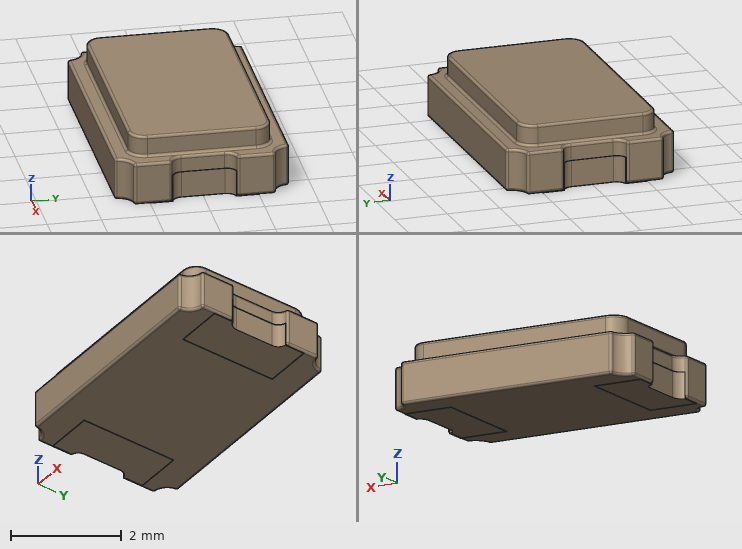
import cadquery as cq

total_length = 5.0
total_width = 3.2
total_height = 1.21

contact_thickness = 0.01
base_top = 0.81
corner_notch_radius = 0.3
edge_radius = 0.05

recess_depth = 0.2
recess_flat_length = 0.8

lining_top = 0.5
pad_width = 2.0
pad_length = 1.0
contact_setback = 0.04

lid_length = 4.4
lid_width = 2.6
lid_corner_radius = 0.3

END_SIDES = (-1, 1)


def end_slots(radius, bottom, top):
    """Upright slots of the given end radius, one centred on each short end face."""
    centres = [(side * total_length / 2, 0) for side in END_SIDES]
    return (
        cq.Workplane("XY", origin=(0, 0, bottom))
        .pushPoints(centres)
        .slot2D(recess_flat_length + 2 * radius, 2 * radius, 90)
        .extrude(top - bottom)
    )


def block(length, width, bottom, top):
    """Box centred on the Z axis between two heights."""
    return cq.Workplane("XY", origin=(0, 0, bottom)).rect(length, width).extrude(top - bottom)


def make_base():
    corner_notches = (
        cq.Workplane("XY")
        .rect(total_length, total_width, forConstruction=True)
        .vertices()
        .circle(corner_notch_radius)
        .extrude(base_top)
    )
    base = (
        block(total_length, total_width, contact_thickness, base_top)
        .cut(corner_notches)
        .cut(end_slots(recess_depth, 0, base_top))
    )
    recess_wall_edges = cq.selectors.BoxSelector(
        (-total_length / 2 + edge_radius, -recess_flat_length, 0),
        (total_length / 2 - edge_radius, recess_flat_length, base_top),
    )
    outer_upright_edges = cq.selectors.StringSyntaxSelector("|Z") - recess_wall_edges
    base = base.edges(outer_upright_edges).fillet(edge_radius)
    return base.faces("<Z or >Z").edges().fillet(edge_radius)


def make_lid():
    """Rounded lid with a concave fillet flaring out to the top of the base."""
    upright = block(lid_length, lid_width, base_top, total_height).edges("|Z").fillet(lid_corner_radius)
    upright = upright.faces(">Z").edges().fillet(edge_radius)
    slab = block(total_length, total_width, contact_thickness, base_top)
    foot_edges = cq.selectors.BoxSelector(
        (-total_length / 2 + edge_radius, -total_width / 2 + edge_radius, base_top - edge_radius),
        (total_length / 2 - edge_radius, total_width / 2 - edge_radius, base_top + edge_radius),
    )
    return slab.union(upright).edges(foot_edges).fillet(edge_radius).cut(slab)


def make_contacts():
    linings = end_slots(recess_depth + edge_radius, 0, lining_top)
    pads = block(total_length, pad_width, 0, contact_thickness).cut(
        block(total_length - 2 * pad_length, pad_width, 0, contact_thickness)
    )
    set_back = block(total_length - 2 * contact_setback, total_width, 0, lining_top)
    opening = end_slots(recess_depth - contact_thickness, 0, lining_top)
    return linings.union(pads).intersect(set_back).cut(opening)


result = make_base().union(make_contacts()).union(make_lid())